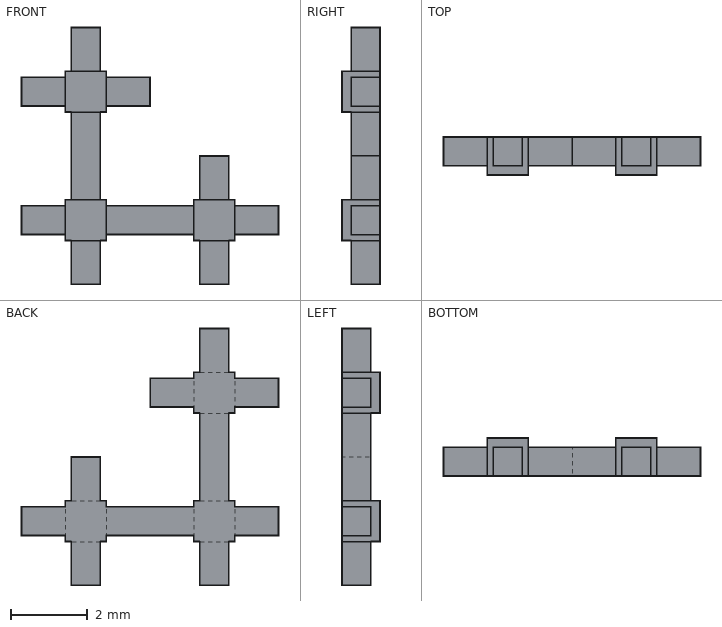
import cadquery as cq

pitch = 3.355
post_width = 0.76
block_width = 1.075
block_depth = 1.0

crossings = [(0, 0), (pitch, 0), (0, pitch)]


def flush_box(width, depth, height, center):
    """Box centred on (X, Z), with its back face on Y = 0."""
    x, z = center
    return cq.Workplane("XY").box(width, depth, height).translate((x, -depth / 2, z))


def crossing(center):
    """Horizontal and vertical pin, each one pitch long, meeting in a block."""
    horizontal = flush_box(pitch, post_width, post_width, center)
    vertical = flush_box(post_width, post_width, pitch, center)
    block = flush_box(block_width, block_depth, block_width, center)
    return horizontal.union(vertical).union(block)


result = crossing(crossings[0])
for center in crossings[1:]:
    result = result.union(crossing(center))
result = result.clean()